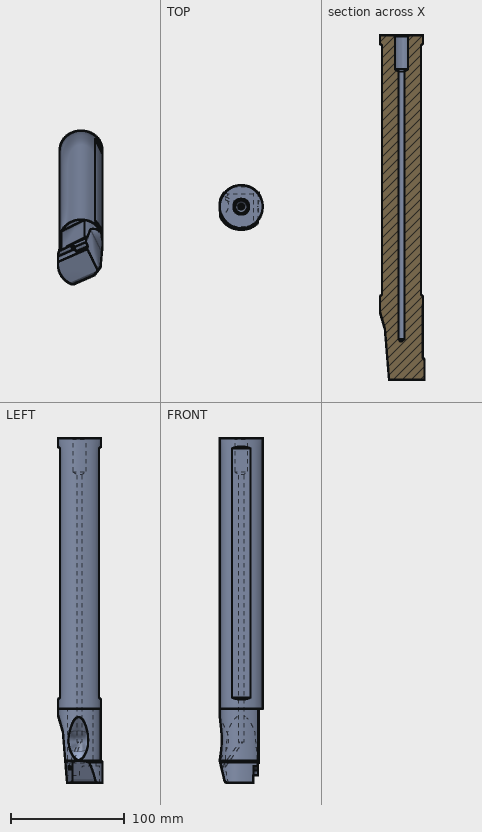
import cadquery as cq
import math

total_length = 303.8
shank_radius = 38.1 / 2
neck_radius = 18.95
head_radius = 20.48
shank_bottom_z = 65.3
head_top_z = 18.1
shank_chamfer = shank_radius - neck_radius
collar_height = head_radius - neck_radius
clearance = 30.0

flat_offset = 17.3
flat_bottom_z = 75.2
flat_top_z = 294.6

bore_diameter = 11.2
bore_mouth_diameter = 14.0
bore_depth = 30.0
drill_point_angle = 118.0
coolant_diameter = 4.6
coolant_bottom_z = 36.0

relief_bottom_y = 11.0
relief_knee_y = 14.7
relief_knee_z = 45.0
relief_top_z = 59.5

side_flat_front = (14.5, -15.0)
side_flat_back = (15.7, 10.0)
head_flat_x = 14.9
head_flat_top_z = 17.6

incline_top_x = -19.0
incline_bottom_x = -14.35
incline_height = head_top_z + collar_height
incline_edge_y = 6.0
bevel_angle = 60.0
toe_radius = 3.2

seat_x = 10.6
seat_top_z = 15.0
seat_step_z = 6.8
seat_slope_z = 11.0
seat_wall_y = 0.0
seat_slope_run = 3.0

scoop_y = 1.1
scoop_radius = 9.5
scoop_lower_bend_z = 27.6
scoop_upper_bend_z = 46.0
scoop_top_z = 58.1
scoop_lower_angle = 33.0
scoop_upper_angle = 26.0

outlet_diameter = 2.4
outlet_y = 8.6
outlet_z = 13.2


def make_body():
    """Shank, neck and head, turned about Z."""
    outline = [
        (0, 0),
        (head_radius, 0),
        (head_radius, head_top_z),
        (neck_radius, head_top_z + collar_height),
        (neck_radius, shank_bottom_z),
        (shank_radius, shank_bottom_z + shank_chamfer),
        (shank_radius, total_length),
        (0, total_length),
    ]
    return cq.Workplane("XZ").polyline(outline).close().revolve(360, (0, 0, 0), (0, 1, 0))


def make_flat_cutter():
    """Clamping flat with 45 degree ends, on the +Y side."""
    depth = clearance - flat_offset
    outline = [
        (flat_offset, flat_bottom_z),
        (clearance, flat_bottom_z - depth),
        (clearance, flat_top_z + depth),
        (flat_offset, flat_top_z),
    ]
    return cq.Workplane("YZ").polyline(outline).close().extrude(clearance, both=True)


def make_bore():
    """Countersunk bore with a drill point that runs into the coolant bore."""
    bore_radius = bore_diameter / 2
    mouth_radius = bore_mouth_diameter / 2
    coolant_radius = coolant_diameter / 2
    floor_z = total_length - bore_depth
    point_height = (bore_radius - coolant_radius) / math.tan(math.radians(drill_point_angle / 2))
    outline = [
        (0, total_length),
        (mouth_radius, total_length),
        (bore_radius, total_length - (mouth_radius - bore_radius)),
        (bore_radius, floor_z),
        (coolant_radius, floor_z - point_height),
        (coolant_radius, coolant_bottom_z),
        (0, coolant_bottom_z),
    ]
    return cq.Workplane("XZ").polyline(outline).close().revolve(360, (0, 0, 0), (0, 1, 0))


def make_relief_cutter():
    """Two sloping faces that thin the neck and head on the +Y side."""
    outline = [
        (relief_bottom_y, 0),
        (relief_knee_y, relief_knee_z),
        (neck_radius, relief_top_z),
        (clearance, relief_top_z),
        (clearance, 0),
    ]
    return cq.Workplane("YZ").polyline(outline).close().extrude(clearance, both=True)


def make_side_flat_cutter():
    """Flat on the +X side, up to the lower end of the shank."""
    slope = (side_flat_back[0] - side_flat_front[0]) / (side_flat_back[1] - side_flat_front[1])

    def flat_x(y):
        return side_flat_front[0] + slope * (y - side_flat_front[1])

    outline = [
        (flat_x(-clearance), -clearance),
        (clearance, -clearance),
        (clearance, clearance),
        (flat_x(clearance), clearance),
    ]
    return cq.Workplane("XY").polyline(outline).close().extrude(shank_bottom_z)


def make_head_flat_cutter():
    """Slightly deeper flat on the +X side of the head."""
    return (
        cq.Workplane("XY")
        .box(clearance, 2 * clearance, head_flat_top_z, centered=(False, True, False))
        .translate((head_flat_x, 0, 0))
    )


def make_incline_envelope():
    """Space inside the inclined face, rounded into the bottom face at the toe."""
    outline = [
        (incline_bottom_x, 0),
        (clearance, 0),
        (clearance, incline_height),
        (incline_top_x, incline_height),
    ]
    wedge = cq.Workplane("XZ").polyline(outline).close().extrude(clearance, both=True)
    toe_edge = cq.selectors.NearestToPointSelector((incline_bottom_x, 0, 0))
    return wedge.edges("|Y").edges(toe_edge).fillet(toe_radius)


def bevel_section(face_x, z):
    """Closed outline at height z of what the bevel leaves where the inclined face is at face_x."""
    run_per_y = 1 / math.tan(math.radians(bevel_angle))

    def bevel_x(y):
        return face_x + (y - incline_edge_y) * run_per_y

    points = [
        (bevel_x(-clearance), -clearance),
        (bevel_x(clearance), clearance),
        (2 * clearance, clearance),
        (2 * clearance, -clearance),
    ]
    return cq.Wire.makePolygon([cq.Vector(x, y, z) for x, y in points], close=True)


def make_bevel_envelope():
    """Space inside the bevel, which slopes along the inclined face."""
    sections = [bevel_section(incline_bottom_x, 0), bevel_section(incline_top_x, incline_height)]
    return cq.Workplane(cq.Solid.makeLoft(sections, True))


def make_head_cutter():
    """What the inclined faces remove from the head."""
    block = cq.Workplane("XY").rect(2 * clearance, 2 * clearance).extrude(incline_height)
    return block.cut(make_incline_envelope().intersect(make_bevel_envelope()))


def make_seat_cutter():
    """Insert seat: open below a step, and open to -Y in front of a wall that leans forward."""
    outline = [
        (-clearance, 0),
        (clearance, 0),
        (clearance, seat_step_z),
        (seat_wall_y, seat_step_z),
        (seat_wall_y, seat_slope_z),
        (seat_wall_y - seat_slope_run, seat_top_z),
        (-clearance, seat_top_z),
    ]
    return cq.Workplane("YZ", origin=(seat_x, 0, 0)).polyline(outline).close().extrude(clearance)


def make_scoop_cutter():
    """Round groove swept along a line, a tangent arc and a line in a plane of constant Y."""
    lower = math.radians(scoop_lower_angle)
    upper = math.radians(scoop_upper_angle)
    bend_radius = (scoop_upper_bend_z - scoop_lower_bend_z) / (math.sin(upper) + math.sin(lower))
    bend_z = scoop_lower_bend_z + bend_radius * math.sin(lower)
    upper_floor_x = -neck_radius + (scoop_top_z - scoop_upper_bend_z) * math.tan(upper)
    bend_x = upper_floor_x - bend_radius * math.cos(upper)
    path_radius = bend_radius - scoop_radius

    def path_point(angle, along):
        x = bend_x + path_radius * math.cos(angle) - along * abs(math.sin(angle))
        z = bend_z + path_radius * math.sin(angle) + math.copysign(along * math.cos(angle), angle)
        return (x, z)

    start = path_point(-lower, clearance)
    path = (
        cq.Workplane("XZ", origin=(0, scoop_y, 0))
        .moveTo(*start)
        .lineTo(*path_point(-lower, 0))
        .threePointArc((bend_x + path_radius, bend_z), path_point(upper, 0))
        .lineTo(*path_point(upper, clearance))
    )
    section_plane = cq.Plane(
        origin=(start[0], scoop_y, start[1]),
        xDir=(0, 1, 0),
        normal=(math.sin(lower), 0, math.cos(lower)),
    )
    return cq.Workplane(section_plane).circle(scoop_radius).sweep(path)


def make_outlet():
    """Coolant passage from the lower end of the coolant bore, slanting down out of the bevel."""
    face_x = incline_bottom_x + (incline_top_x - incline_bottom_x) * outlet_z / incline_height
    outlet_x = face_x + (outlet_y - incline_edge_y) / math.tan(math.radians(bevel_angle))
    start = cq.Vector(0, 0, coolant_bottom_z)
    run = cq.Vector(outlet_x, outlet_y, outlet_z) - start
    length = run.Length + outlet_diameter
    return cq.Workplane(cq.Solid.makeCylinder(outlet_diameter / 2, length, start, run))


flat_cutter = make_flat_cutter()
result = (
    make_body()
    .cut(flat_cutter)
    .cut(flat_cutter.mirror("XZ"))
    .cut(make_bore())
    .cut(make_relief_cutter())
    .cut(make_side_flat_cutter())
    .cut(make_head_flat_cutter())
    .cut(make_head_cutter())
    .cut(make_seat_cutter())
    .cut(make_scoop_cutter())
    .cut(make_outlet())
)